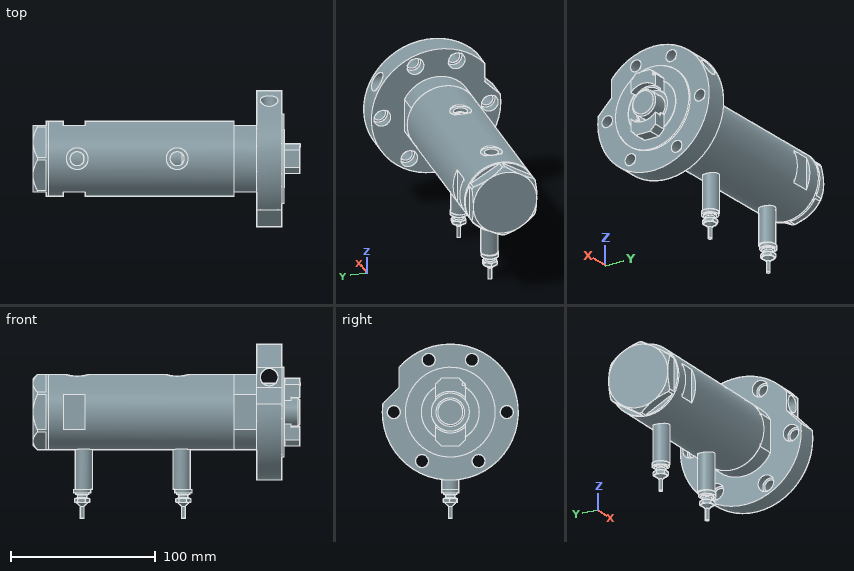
import cadquery as cq
import math


cap_hex_end = 9.0
barrel_start = 10.75
port_x = (30.5, 99.5)
sleeve_x = (35.1, 102.6)
sensor_x = (33.9, 103.75)
barrel_end = 138.75
flange_start = 154.25
flange_end = 171.75
spigot_end = 173.25
lug_start = 173.65
lug_end = 184.2
total_length = 184.6

body_radius = 26.0
bore_radius = 16.0
across_flats = 46.0
recess_start = 21.0
recess_length = 15.0

spotface_diameter = 15.0
spotface_height = 24.8
port_diameter = 9.7

cap_chamfer = 3.0

flange_radius = 47.0
spigot_radius = 31.0
gland_bore_radius = 20.0
bolt_circle_radius = 39.0
bolt_angles = (0, 67.5, 112.5, 180, 240, 300)
bolt_hole_diameter = 8.8
counterbore_diameter = 12.0
counterbore_depth = 7.0
notch_y = -35.4
notch_top = math.sqrt(flange_radius**2 - notch_y**2)
notch_bottom = 17.0
cross_hole_diameter = 12.0
cross_hole_z = 24.1

rod_radius = 9.8
rod_chamfer = 1.2
piston_end = 34.7

gland_start = 102.8
gland_nose_radius = 22.0
lug_width = 20.7
lug_height = 46.8
lug_chamfer = 4.3
pip_radius = 1.0
pip_y = 9.2
pip_z = 19.2
wiper_radius = 13.15
wiper_start = 171.75
lug_counterbore_radius = 14.4
lug_counterbore_start = 178.1

sleeve_radius = 6.0
sleeve_top = -23.0
sleeve_bottom = -53.4
collar_bottom = -55.8
shoulder_radius = 4.6
shoulder_bottom = -56.7
neck_radius = 3.2
neck_top = -57.2
neck_bottom = -58.9
nut_across_flats = 9.4
nut_top = -59.6
nut_bottom = -62.3
nut_chamfer = 0.5
nut_turn = -5
cone_radius = 4.2
cable_radius = 1.35
cable_top = -65.0
cable_bottom = -73.4


def cylinder_x(radius, start, end):
    """Round bar on the cylinder axis between two X stations."""
    return cq.Workplane("YZ", origin=(start, 0, 0)).circle(radius).extrude(end - start)


def cylinder_z(x, radius, bottom, top):
    """Round bar parallel to Z between two heights."""
    return cq.Workplane("XY", origin=(x, 0, bottom)).circle(radius).extrude(top - bottom)


def box_x(start, end, width, height):
    """Block centred on the cylinder axis between two X stations."""
    return cq.Workplane("YZ", origin=(start, 0, 0)).rect(width, height).extrude(end - start)


def flatted(body, start, end):
    """Mill two flats onto the -Y and +Y sides of a round body."""
    clear = 4 * body_radius
    sides = box_x(start, end, clear, clear).cut(box_x(start, end, across_flats, clear))
    return body.cut(sides)


def make_cap():
    """Hexagon with chamfered corners and a round collar against the barrel."""
    corner_diameter = across_flats / math.cos(math.pi / 6)
    hexagon = (
        cq.Workplane("YZ")
        .polygon(6, corner_diameter)
        .extrude(cap_hex_end)
        .rotate((0, 0, 0), (1, 0, 0), 30)
    )
    chamfered_bar = cylinder_x(body_radius, 0, cap_hex_end).faces("<X").chamfer(cap_chamfer)
    collar = cylinder_x(body_radius, cap_hex_end, barrel_start)
    return hexagon.intersect(chamfered_bar).union(collar)


def make_barrel():
    """Tube with wrench flats, oil ports, a wider gland seat and pockets for the sleeves."""
    barrel = cylinder_x(body_radius, barrel_start, barrel_end)
    barrel = flatted(barrel, recess_start, recess_start + recess_length)
    barrel = barrel.cut(cylinder_x(bore_radius, barrel_start, barrel_end))
    barrel = barrel.cut(cylinder_x(gland_nose_radius, gland_start, barrel_end))
    for x in port_x:
        barrel = barrel.cut(cylinder_z(x, spotface_diameter / 2, spotface_height, body_radius))
        barrel = barrel.cut(cylinder_z(x, port_diameter / 2, 0, body_radius))
    for x in sleeve_x:
        barrel = barrel.cut(cylinder_z(x, sleeve_radius, sleeve_bottom, sleeve_top))
    return barrel


def make_flange():
    """Flatted neck, notched disc and spigot, bored for the gland and drilled across."""
    neck = flatted(cylinder_x(body_radius, barrel_end, flange_start), barrel_end, flange_start)
    disc = cylinder_x(flange_radius, flange_start, flange_end).cut(flange_notch())
    spigot = cylinder_x(spigot_radius, flange_end, spigot_end)
    flange = neck.union(disc).union(spigot)
    flange = flange.cut(cylinder_x(gland_bore_radius, barrel_end, spigot_end))
    cross_hole = (
        cq.Workplane("XZ", origin=((flange_start + flange_end) / 2, flange_radius, cross_hole_z))
        .circle(cross_hole_diameter / 2)
        .extrude(2 * flange_radius)
    )
    return flange.cut(cross_hole).cut(bolt_holes())


def flange_notch():
    """Corner removed on the -Y side: a vertical seat with a 45 degree ramp below it."""
    outside = -1.5 * flange_radius
    ramp_run = notch_y - outside
    return (
        cq.Workplane("YZ", origin=(flange_start, 0, 0))
        .moveTo(notch_y, notch_top)
        .lineTo(notch_y, notch_bottom)
        .lineTo(outside, notch_bottom - ramp_run)
        .lineTo(outside, notch_top)
        .close()
        .extrude(flange_end - flange_start)
    )


def bolt_holes():
    """Counterbored bolt holes, entered from the barrel side of the flange."""
    centres = [
        (
            bolt_circle_radius * math.cos(math.radians(angle)),
            bolt_circle_radius * math.sin(math.radians(angle)),
        )
        for angle in bolt_angles
    ]
    face = cq.Workplane("YZ", origin=(flange_start, 0, 0)).pushPoints(centres)
    through = face.circle(bolt_hole_diameter / 2).extrude(flange_end - flange_start)
    heads = face.circle(counterbore_diameter / 2).extrude(counterbore_depth)
    return through.union(heads)


def make_rod():
    """Piston at the cap end with the rod running out through the gland."""
    rod = cylinder_x(rod_radius, barrel_start, lug_end).faces(">X").chamfer(rod_chamfer)
    return rod.union(cylinder_x(bore_radius, barrel_start, piston_end))


def make_gland():
    """Stepped bush around the rod, with one lug above it and one below."""
    nose = cylinder_x(gland_nose_radius, gland_start, barrel_end)
    bush = cylinder_x(gland_bore_radius, barrel_end, lug_start)
    lugs = box_x(lug_start, lug_end, lug_width, lug_height).edges("|X").chamfer(lug_chamfer)
    locating_pip = (
        cq.Workplane("YZ", origin=(lug_end, pip_y, pip_z))
        .circle(pip_radius)
        .extrude(total_length - lug_end)
    )
    return (
        nose.union(bush)
        .union(lugs)
        .union(locating_pip)
        .cut(cylinder_x(rod_radius, gland_start, lug_end))
        .cut(cylinder_x(wiper_radius, wiper_start, lug_end))
        .cut(cylinder_x(lug_counterbore_radius, lug_counterbore_start, lug_end))
    )


def make_sleeve(x):
    return cylinder_z(x, sleeve_radius, sleeve_bottom, sleeve_top)


def make_sensor(x):
    """Collar, waisted neck, hexagonal cable nut and cable."""
    nut_corner_radius = nut_across_flats / 2 / math.cos(math.pi / 6)
    turned = (
        cq.Workplane("XZ")
        .moveTo(0, sleeve_bottom)
        .lineTo(sleeve_radius, sleeve_bottom)
        .lineTo(sleeve_radius, collar_bottom)
        .lineTo(shoulder_radius, collar_bottom)
        .lineTo(shoulder_radius, shoulder_bottom)
        .lineTo(neck_radius, neck_top)
        .lineTo(neck_radius, neck_bottom)
        .lineTo(shoulder_radius, nut_top)
        .lineTo(shoulder_radius, nut_bottom)
        .lineTo(cone_radius, nut_bottom)
        .lineTo(cable_radius, cable_top)
        .lineTo(cable_radius, cable_bottom)
        .lineTo(0, cable_bottom)
        .close()
        .revolve(360, (0, 0, 0), (0, 1, 0))
    )
    nut = (
        cq.Workplane("XY", origin=(0, 0, nut_bottom))
        .polygon(6, 2 * nut_corner_radius)
        .extrude(nut_top - nut_bottom)
        .rotate((0, 0, 0), (0, 0, 1), nut_turn)
    )
    chamfered_bar = cylinder_z(0, nut_corner_radius, nut_bottom, nut_top).edges().chamfer(nut_chamfer)
    nut = nut.intersect(chamfered_bar)
    return turned.union(nut).translate((x, 0, 0))


cap = make_cap()
barrel = make_barrel()
flange = make_flange()
rod = make_rod()
gland = make_gland()
sleeves = [make_sleeve(x) for x in sleeve_x]
sensors = [make_sensor(x) for x in sensor_x]

bodies = [cap, barrel, flange, rod, gland, *sleeves, *sensors]
result = cq.Compound.makeCompound([body.val() for body in bodies])